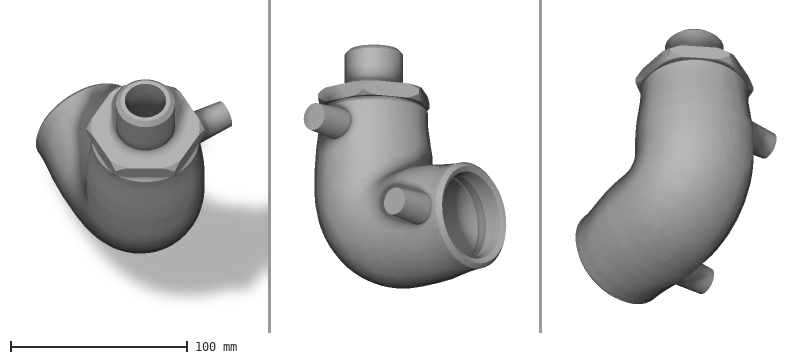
import cadquery as cq
import math

body_radius = 33.5
bend_offset = 26.4
taper_start = 38.6
leg_length = 74.5
rim_radius = 30.5
rim_width = 2.5
lip_radius = 28.0

bend_bore_radius = 21.3
socket_radius = 50.0 / 2
mouth_depth = 1.8
groove_start = 12.5
groove_width = 6.2
groove_radius = 26.3

nut_bottom = leg_length + 0.3
nut_height = 8.4
nut_flats = 58.1
nut_chamfer = 2.8
nipple_top = 142 - body_radius
nipple_radius = 33.2 / 2
nipple_bore = 23.3
nipple_chamfer = 2.5

pin_axis_distance = 59.6
pin_root = 27.7
pin_tip = 85.5 - body_radius
pin_root_radius = 9.4
pin_tip_radius = 7.8


def spin(points):
    """Revolve an (r, z) outline about the Z axis."""
    return cq.Workplane("XZ").polyline(points).close().revolve(360, (0, 0), (0, 1))


def lay_along_leg(solid):
    """Turn a +Z solid so that it points along -X."""
    return solid.rotate((0, 0, 0), (0, 1, 0), -90)


def leg():
    """Outer shape of the vertical leg, with a smooth S-shaped taper and a chamfered rim."""
    chamfer_start = leg_length - rim_width
    straight = spin([
        (0, bend_offset), (body_radius, bend_offset), (body_radius, taper_start), (0, taper_start),
    ])
    taper = (
        cq.Workplane("XZ")
        .moveTo(0, taper_start)
        .lineTo(body_radius, taper_start)
        .spline([(rim_radius, chamfer_start)], tangents=[(0, 1), (0, 1)], includeCurrent=True)
        .lineTo(lip_radius, leg_length)
        .lineTo(0, leg_length)
        .close()
        .revolve(360, (0, 0), (0, 1))
    )
    return straight.union(taper)


def bend(radius):
    """Quarter bend; the part of the section beyond the bend centre is left out."""
    section = cq.Workplane("XY", origin=(0, 0, bend_offset))
    if radius > bend_offset:
        half_chord = math.sqrt(radius**2 - bend_offset**2)
        diagonal = radius / math.sqrt(2)
        section = (
            section.moveTo(-bend_offset, -half_chord)
            .threePointArc((diagonal, -diagonal), (radius, 0))
            .threePointArc((diagonal, diagonal), (-bend_offset, half_chord))
            .close()
        )
    else:
        section = section.circle(radius)
    return section.revolve(90, (-bend_offset, 0), (-bend_offset, 1))


def socket():
    """Bore of the open leg: countersunk mouth, ring groove and plain bore."""
    groove_top = leg_length - groove_start
    groove_bottom = groove_top - groove_width
    cavity = spin([
        (0, bend_offset),
        (socket_radius, bend_offset),
        (socket_radius, groove_bottom),
        (groove_radius, groove_bottom),
        (groove_radius, groove_top),
        (socket_radius, groove_top),
        (socket_radius, leg_length - mouth_depth),
        (lip_radius, leg_length),
        (0, leg_length),
    ])
    return lay_along_leg(cavity)


def nut():
    corner_radius = nut_flats / math.sqrt(3)
    hexagon = (
        cq.Workplane("XY", origin=(0, 0, nut_bottom))
        .polygon(6, 2 * corner_radius)
        .extrude(nut_height)
    )
    chamfered_disc = (
        cq.Workplane("XY", origin=(0, 0, nut_bottom))
        .circle(corner_radius)
        .extrude(nut_height)
        .edges()
        .chamfer(nut_chamfer)
    )
    return hexagon.intersect(chamfered_disc)


def nipple():
    return (
        cq.Workplane("XY", origin=(0, 0, leg_length - rim_width))
        .circle(nipple_radius)
        .extrude(nipple_top - leg_length + rim_width)
        .faces(">Z")
        .chamfer(nipple_chamfer)
    )


def collar():
    """Short neck between the rim and the nut."""
    return cq.Workplane("XY", origin=(0, 0, leg_length)).circle(lip_radius).extrude(nut_bottom - leg_length)


def pin(x, z):
    length = pin_tip - pin_root
    cone = cq.Solid.makeCone(
        pin_root_radius, pin_tip_radius, length, cq.Vector(x, pin_root, z), cq.Vector(0, 1, 0)
    )
    return cq.Workplane(obj=cone)


result = leg().union(lay_along_leg(leg())).union(bend(body_radius))
result = result.union(collar()).union(nut()).union(nipple())
for pin_x, pin_z in [(-pin_axis_distance, 0), (0, pin_axis_distance)]:
    result = result.union(pin(pin_x, pin_z))

nipple_hole = (
    cq.Workplane("XY", origin=(0, 0, bend_offset))
    .circle(nipple_bore / 2)
    .extrude(nipple_top - bend_offset)
)
result = result.cut(socket()).cut(bend(bend_bore_radius)).cut(nipple_hole)